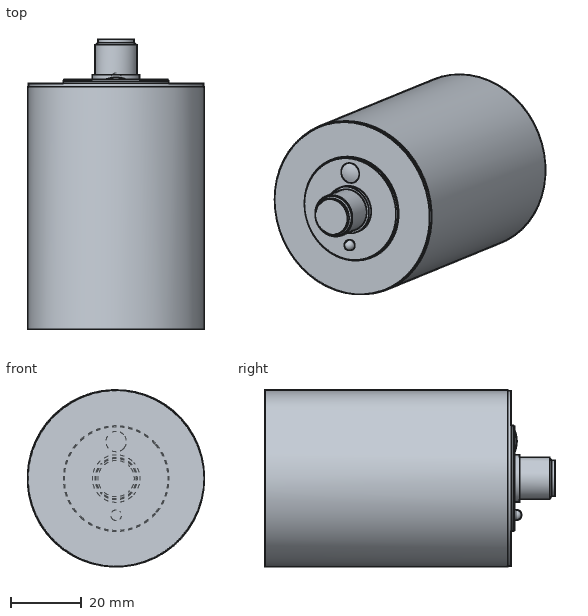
import cadquery as cq

overall_length = 82.3

body_diameter = 50.2
body_length = 68.8
cap_diameter = 49.8
cap_thickness = 1.0

plate_diameter = 30.0
plate_thickness = 1.1
plate_bevel_height = 0.5
plate_bevel_inset = 0.3

collar_diameter = 13.5
collar_thickness = 1.35
barrel_diameter = 12.0
bevel_diameter = 11.4
bevel_length = 0.5
tip_diameter = 10.3
tip_length = 1.0

lamp_offset = 10.4
button_offset = 10.5
lamp_diameter = 3.0
lamp_base_height = 0.4
button_diameter = 5.8
button_height = 0.6

cap_face = body_length + cap_thickness
plate_face = cap_face + plate_thickness
collar_face = plate_face + collar_thickness
bevel_face = overall_length - tip_length
barrel_face = bevel_face - bevel_length


def turned_body():
    """Housing, cap, plate and connector, revolved from one half outline (radius, Y)."""
    body_radius = body_diameter / 2
    cap_radius = cap_diameter / 2
    plate_radius = plate_diameter / 2
    collar_radius = collar_diameter / 2
    barrel_radius = barrel_diameter / 2
    bevel_radius = bevel_diameter / 2
    tip_radius = tip_diameter / 2
    outline = (
        cq.Workplane("XY")
        .lineTo(body_radius, 0)
        .lineTo(body_radius, body_length)
        .lineTo(cap_radius, body_length)
        .lineTo(cap_radius, cap_face)
        .lineTo(plate_radius, cap_face)
        .lineTo(plate_radius, plate_face - plate_bevel_height)
        .lineTo(plate_radius - plate_bevel_inset, plate_face)
        .lineTo(collar_radius, plate_face)
        .lineTo(collar_radius, collar_face)
        .lineTo(barrel_radius, collar_face)
        .lineTo(barrel_radius, barrel_face)
        .lineTo(bevel_radius, barrel_face)
        .lineTo(tip_radius, bevel_face)
        .lineTo(tip_radius, overall_length)
        .lineTo(0, overall_length)
        .close()
    )
    return outline.revolve(360, (0, 0), (0, 1))


def lamp():
    """Short cylinder with a hemispherical end, its foot sunk to the cap face."""
    radius = lamp_diameter / 2
    base_face = plate_face + lamp_base_height
    outline = (
        cq.Workplane("XY")
        .moveTo(0, cap_face)
        .lineTo(radius, cap_face)
        .lineTo(radius, base_face)
        .radiusArc((0, base_face + radius), -radius)
        .close()
    )
    return outline.revolve(360, (0, 0), (0, 1)).translate((0, 0, -lamp_offset))


def button():
    """Shallow spherical dome rising from the plate, its foot sunk to the cap face."""
    radius = button_diameter / 2
    sphere_radius = (radius**2 + button_height**2) / (2 * button_height)
    outline = (
        cq.Workplane("XY")
        .moveTo(0, cap_face)
        .lineTo(radius, cap_face)
        .lineTo(radius, plate_face)
        .radiusArc((0, plate_face + button_height), -sphere_radius)
        .close()
    )
    return outline.revolve(360, (0, 0), (0, 1)).translate((0, 0, button_offset))


result = turned_body().union(lamp()).union(button())